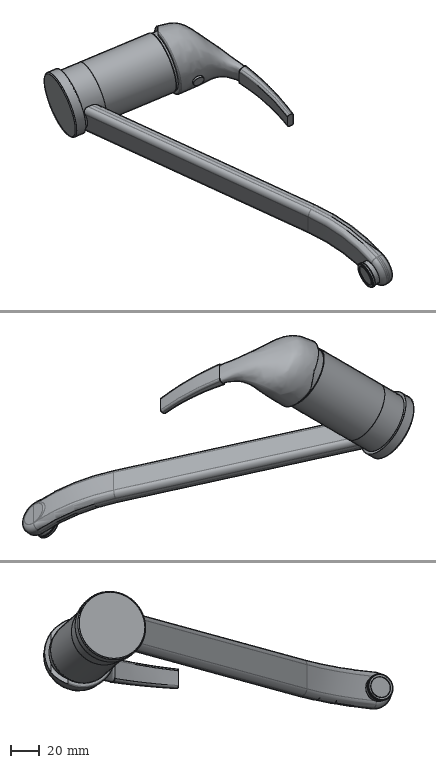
import cadquery as cq
import math


FLANGE_RADIUS = 24.5
FLANGE_HEIGHT = 8.0
FLANGE_CHAMFER = 0.8

COLUMN_RADIUS = 22.5
RING_TOP = 25.3
BODY_TOP = 80.3
NECK_RADIUS = 21.6
NECK_TOP = 92.5

SPOUT_WIDTH = 26.0
SPOUT_THICKNESS = 10.8
SPOUT_CORNER = 4.2
SPOUT_START_X = 14.5
SPOUT_RISE = 33.2
BEND_START = (167.6, 112.0)
TIP_CENTER = (226.0, 133.5)

NOZZLE_OFFSET = 0.8
NOZZLE_RADIUS = 9.0
NOZZLE_LENGTH = 11.4
LIP_RADIUS = 9.5
LIP_HEIGHT = 2.5
LIP_CHAMFER = 0.5
OUTLET_RADIUS = 7.5
OUTLET_DEPTH = 0.5

HEAD_DIAMETER = 50.0
HEAD_RADIUS = HEAD_DIAMETER / 2
LEVER_BOTTOM = 82.0
HEAD_ROUNDING = 0.8
HEAD_SECTIONS = [
    ((HEAD_RADIUS, LEVER_BOTTOM), (-HEAD_RADIUS, LEVER_BOTTOM), HEAD_RADIUS, 2.0),
    ((HEAD_RADIUS, 87.0), (-24.8, 87.0), 24.8, 2.0),
    ((HEAD_RADIUS, 92.0), (-24.3, 92.0), 24.5, 2.0),
    ((HEAD_RADIUS, 96.0), (-23.2, 96.0), 24.0, 2.0),
    ((HEAD_RADIUS, 100.3), (-21.5, 100.3), 23.0, 2.0),
    ((HEAD_RADIUS, 104.3), (-17.7, 104.3), 21.5, 2.0),
    ((24.8, 107.5), (-12.1, 107.7), 19.3, 2.0),
    ((25.5, 111.0), (-3.0, 113.0), 15.3, 2.1),
    ((27.2, 114.0), (6.5, 118.3), 11.5, 2.3),
    ((29.5, 117.0), (15.8, 122.5), 9.2, 2.5),
    ((32.5, 119.9), (24.8, 126.0), 8.2, 2.7),
    ((36.0, 122.5), (33.8, 128.8), 8.2, 2.8),
]
SECTION_POINTS = 24

HANDLE_UNDER_MIDDLE = (59.1, 130.7)
HANDLE_TOP_MIDDLE = (59.1, 136.0)
HANDLE_END_X = 85.3
HANDLE_END_UNDER = 135.2
HANDLE_END_TOP = 139.7
HANDLE_END_HALF_WIDTH = 6.9
HANDLE_ROUNDING = 1.5

RELIEF_START_X = -9.2
RELIEF_END_X = -20.0
RELIEF_TOP = 87.5
PLUG_HEIGHT = 95.8
PLUG_RADIUS = 4.2
PLUG_PROTRUSION = 1.3
PLUG_DEPTH = 2.0


def column_cylinder(radius, bottom, top):
    """Cylinder on the Y axis between two heights."""
    return cq.Workplane("XZ", origin=(0, bottom, 0)).circle(radius).extrude(bottom - top)


def make_flange():
    return column_cylinder(FLANGE_RADIUS, 0, FLANGE_HEIGHT).faces("<Y").chamfer(FLANGE_CHAMFER)


def make_valve_body():
    neck = column_cylinder(NECK_RADIUS, BODY_TOP, NECK_TOP)
    return column_cylinder(COLUMN_RADIUS, RING_TOP, BODY_TOP).union(neck)


def make_spout():
    """Swivel ring, bent spout bar, domed tip and outlet nozzle as one solid."""
    rise = math.radians(SPOUT_RISE)
    start_y = BEND_START[1] - (BEND_START[0] - SPOUT_START_X) * math.tan(rise)
    start = (SPOUT_START_X, start_y)
    tangent = (math.cos(rise), math.sin(rise))

    path = cq.Workplane("XY").moveTo(*start).lineTo(*BEND_START).tangentArcPoint(TIP_CENTER, relative=False)
    section_plane = cq.Plane(origin=(*start, 0), xDir=(0, 0, 1), normal=(*tangent, 0))
    section = cq.Sketch().rect(SPOUT_WIDTH, SPOUT_THICKNESS).vertices().fillet(SPOUT_CORNER)
    bar = cq.Workplane(section_plane).placeSketch(section).sweep(path)

    chord = math.atan2(TIP_CENTER[1] - BEND_START[1], TIP_CENTER[0] - BEND_START[0])
    tip_rise = 2 * chord - rise
    along = cq.Vector(math.cos(tip_rise), math.sin(tip_rise), 0)
    down = cq.Vector(math.sin(tip_rise), -math.cos(tip_rise), 0)
    center = cq.Vector(*TIP_CENTER, 0)

    def tip_plane(origin):
        return cq.Workplane(cq.Plane(origin=origin.toTuple(), xDir=(0, 0, 1), normal=down.toTuple()))

    tip = tip_plane(center).circle(SPOUT_WIDTH / 2).extrude(SPOUT_THICKNESS / 2, both=True)
    tip = tip.edges().fillet(SPOUT_CORNER)

    nozzle_top = center + along * NOZZLE_OFFSET
    lip_top = nozzle_top + down * (NOZZLE_LENGTH - LIP_HEIGHT)
    outlet_top = nozzle_top + down * (NOZZLE_LENGTH - OUTLET_DEPTH)
    nozzle = tip_plane(nozzle_top).circle(NOZZLE_RADIUS).extrude(NOZZLE_LENGTH)
    lip = tip_plane(lip_top).circle(LIP_RADIUS).extrude(LIP_HEIGHT).edges().chamfer(LIP_CHAMFER)
    outlet = tip_plane(outlet_top).circle(OUTLET_RADIUS).extrude(OUTLET_DEPTH)

    ring = column_cylinder(COLUMN_RADIUS, FLANGE_HEIGHT, RING_TOP)
    below_ring = column_cylinder(FLANGE_RADIUS, 0, FLANGE_HEIGHT)
    return ring.union(bar.cut(below_ring)).union(tip).union(nozzle).union(lip).cut(outlet)


def lever_section(under, top, half_width, squareness):
    """Closed superellipse wire spanning an underside point and a top point."""
    middle = ((under[0] + top[0]) / 2, (under[1] + top[1]) / 2)
    half_span = ((top[0] - under[0]) / 2, (top[1] - under[1]) / 2)
    points = []
    for i in range(SECTION_POINTS):
        angle = 2 * math.pi * i / SECTION_POINTS
        c = math.cos(angle)
        s = math.sin(angle)
        span = math.copysign(abs(c) ** (2 / squareness), c)
        side = math.copysign(abs(s) ** (2 / squareness), s)
        points.append(
            cq.Vector(middle[0] + span * half_span[0], middle[1] + span * half_span[1], side * half_width)
        )
    return cq.Wire.assembleEdges([cq.Edge.makeSpline(points, periodic=True)])


def make_head():
    wires = [lever_section(*section) for section in HEAD_SECTIONS]
    head = cq.Workplane(obj=cq.Solid.makeLoft(wires))
    return head.faces("<Y").edges().fillet(HEAD_ROUNDING)


def make_handle():
    """Curved bar between two arcs, tapered in width, with rounded long edges."""
    under, top, half_width, _ = HEAD_SECTIONS[-1]
    side = (
        cq.Workplane("XY")
        .moveTo(*under)
        .threePointArc(HANDLE_UNDER_MIDDLE, (HANDLE_END_X, HANDLE_END_UNDER))
        .lineTo(HANDLE_END_X, HANDLE_END_TOP)
        .threePointArc(HANDLE_TOP_MIDDLE, top)
        .close()
        .extrude(half_width, both=True)
    )
    plan = (
        cq.Workplane("XZ", origin=(0, HANDLE_END_TOP, 0))
        .moveTo(top[0], half_width)
        .lineTo(HANDLE_END_X, HANDLE_END_HALF_WIDTH)
        .lineTo(HANDLE_END_X, -HANDLE_END_HALF_WIDTH)
        .lineTo(top[0], -half_width)
        .close()
        .extrude(HANDLE_END_TOP - under[1])
    )
    long_edges = cq.selectors.BoxSelector(
        (top[0] + 2.6, under[1], -half_width), (HANDLE_END_X - 2.6, HANDLE_END_TOP, half_width)
    )
    return side.intersect(plan).edges(long_edges).fillet(HANDLE_ROUNDING)


def make_lever():
    """Head and handle, bored to sit over the neck of the valve body."""
    lever = make_head().union(make_handle())
    plug = (
        cq.Workplane("YZ", origin=(HEAD_RADIUS - PLUG_DEPTH, PLUG_HEIGHT, 0))
        .circle(PLUG_RADIUS)
        .extrude(PLUG_DEPTH + PLUG_PROTRUSION)
    )
    relief = (
        cq.Workplane("XY")
        .moveTo(RELIEF_START_X, LEVER_BOTTOM)
        .lineTo(RELIEF_END_X, RELIEF_TOP)
        .lineTo(-HEAD_DIAMETER, RELIEF_TOP)
        .lineTo(-HEAD_DIAMETER, LEVER_BOTTOM)
        .close()
        .extrude(HEAD_RADIUS, both=True)
    )
    recess = column_cylinder(NECK_RADIUS, LEVER_BOTTOM, NECK_TOP)
    return lever.union(plug).cut(relief).cut(recess)


flange = make_flange()
spout = make_spout()
valve_body = make_valve_body()
lever = make_lever()

bodies = [flange, spout, valve_body, lever]
result = cq.Compound.makeCompound([body.solids().val() for body in bodies])